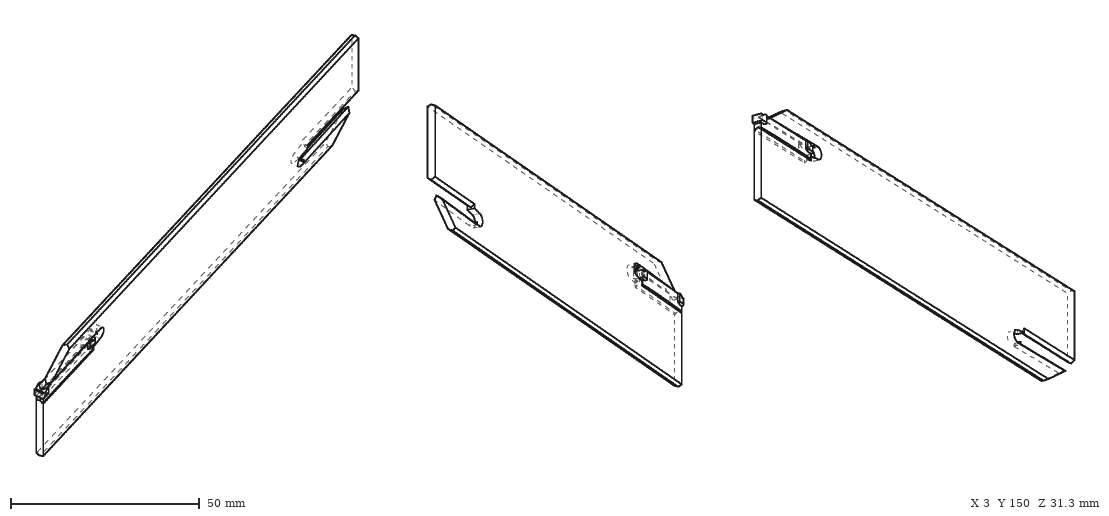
import cadquery as cq
import math


total_length = 150.0
blade_height = 31.3
tip_overhang = 0.5
blade_length = total_length - tip_overhang
blade_thickness = 2.2
half_thickness = blade_thickness / 2
edge_rise = 0.5

seat_depth = 10.0
seat_length = 24.0
floor_depth = 9.6
slot_end_inset = 28.8
slot_top_depth = 5.5
slot_end_radius = 1.8
lip_top_inset = 13.0
lip_tip_inset = 3.1
lip_tip_depth = 6.7
lip_root_depth = 6.3
lip_ridge_end = 25.6
ridge_height = 0.7
lip_tilt = math.degrees(math.atan2(lip_tip_depth - lip_root_depth, lip_ridge_end - lip_tip_inset))

body_length = 23.8
head_width = 3.0
insert_top_depth = 6.0
insert_foot_depth = 10.3
insert_arch = 0.18
head_length = 2.7
head_front_depth = 8.5
head_bottom_depth = 8.8
head_corner_depth = 8.2
cutting_edge_depth = 6.5
breaker_depth = 6.7
breaker_inset = 0.3
breaker_end = 1.5
groove_inset = 0.9
head_bevel = 0.6
flank_bevel = 0.6
tip_radius = 0.3


def place(inset, depth):
    """Turn a seat point at the front upper corner into (Y, Z)."""
    return (inset - blade_length / 2, blade_height / 2 - depth)


def turned(point):
    """The same point after half a turn about the X axis."""
    return (-point[0], -point[1])


def plate(outline, thickness):
    """Extrude a closed YZ outline symmetrically about the X = 0 plane."""
    return outline.close().extrude(thickness / 2, both=True)


def ridge_flanks(inset, depth, direction, length, tilt=0.0):
    """Waste beside a ridge whose crest starts at the given seat point and runs inward along +Y.

    direction is +1 for a ridge that points up and -1 for one that points down.
    """
    y, z = place(inset, depth)
    drop = -direction * ridge_height
    flanks = cq.Workplane("XZ", origin=(0, y, z))
    for side in (-1, 1):
        flanks = flanks.polyline([(0, 0), (side * half_thickness, 0), (side * half_thickness, drop)]).close()
    return flanks.extrude(-length).rotate((0, y, z), (1, y, z), tilt)


def trace_end(outline, turn):
    """Trace one blade end, from the crest of its seat around the slot to the top of its lip."""
    slot_center_inset = slot_end_inset - slot_end_radius
    slot_center_depth = slot_top_depth + slot_end_radius

    def at(inset, depth):
        return turn(place(inset, depth))

    return (
        outline.lineTo(*at(seat_length, seat_depth))
        .lineTo(*at(seat_length, floor_depth))
        .lineTo(*at(slot_center_inset, slot_center_depth + slot_end_radius))
        .threePointArc(at(slot_end_inset, slot_center_depth), at(slot_center_inset, slot_top_depth))
        .lineTo(*at(lip_ridge_end, slot_top_depth))
        .lineTo(*at(lip_ridge_end, lip_root_depth))
        .lineTo(*at(lip_tip_inset, lip_tip_depth))
        .lineTo(*at(lip_top_inset, 0))
    )


def v_edged_bar():
    """Bar with the blade's cross-section: flat sides and shallow V-shaped long edges."""
    crest = blade_height / 2
    shoulder = crest - edge_rise
    section = [
        (0, crest), (half_thickness, shoulder), (half_thickness, -shoulder),
        (0, -crest), (-half_thickness, -shoulder), (-half_thickness, shoulder),
    ]
    return cq.Workplane("XZ").polyline(section).close().extrude(blade_length / 2, both=True)


def make_blade():
    seat_start = place(0, seat_depth)
    outline = cq.Workplane("YZ").moveTo(*seat_start)
    outline = trace_end(outline, lambda point: point)
    outline = outline.lineTo(*turned(place(0, blade_height))).lineTo(*turned(seat_start))
    outline = trace_end(outline, turned).lineTo(*place(0, blade_height))
    blade = plate(outline, blade_thickness).intersect(v_edged_bar())

    seat_flanks = ridge_flanks(0, seat_depth, 1, seat_length)
    lip_flanks = ridge_flanks(lip_tip_inset, lip_tip_depth, -1, lip_ridge_end - lip_tip_inset, lip_tilt)
    for flanks in (seat_flanks, lip_flanks):
        blade = blade.cut(flanks).cut(flanks.rotate((0, 0, 0), (1, 0, 0), 180))
    return blade


def v_groove(start, end, depth, direction):
    """V groove that takes a ridge; its bottom runs between two insets at the given depth."""
    y, z = place(start, depth)
    mouth = -direction * ridge_height
    return (
        cq.Workplane("XZ", origin=(0, y, z))
        .polyline([(0, 0), (half_thickness, mouth), (-half_thickness, mouth)])
        .close()
        .extrude(start - end)
    )


def make_head():
    """Wide cutting head at the front, with a chip breaker behind its cutting edge."""
    profile = [
        (-tip_overhang, cutting_edge_depth), (breaker_inset, breaker_depth),
        (breaker_end, insert_top_depth), (head_length, insert_top_depth),
        (head_length, head_corner_depth), (breaker_end, head_bottom_depth),
        (0, head_bottom_depth), (-tip_overhang, head_front_depth),
    ]
    head = plate(cq.Workplane("YZ").polyline([place(*point) for point in profile]), head_width)

    half_width = head_width / 2
    tip_y = place(-tip_overhang, 0)[0]
    rear_y = place(head_length, 0)[0]
    plan = [
        (-half_width, tip_y), (half_width, tip_y), (half_width, rear_y - head_bevel),
        (half_thickness, rear_y), (-half_thickness, rear_y), (-half_width, rear_y - head_bevel),
    ]
    plan_bar = cq.Workplane("XY").polyline(plan).close().extrude(blade_height)
    plan_bar = plan_bar.edges("|Z").edges("<Y").fillet(tip_radius)

    top_z = place(0, insert_top_depth)[1]
    bottom_z = place(0, head_bottom_depth)[1]
    front = [
        (-half_width, top_z), (half_width, top_z), (half_width, bottom_z + flank_bevel),
        (half_thickness, bottom_z), (-half_thickness, bottom_z), (-half_width, bottom_z + flank_bevel),
    ]
    front_bar = cq.Workplane("XZ", origin=(0, tip_y, 0)).polyline(front).close().extrude(tip_y - rear_y)
    return head.intersect(plan_bar).intersect(front_bar)


def make_insert():
    middle = body_length / 2
    body_outline = (
        cq.Workplane("YZ")
        .moveTo(*place(0, insert_foot_depth))
        .threePointArc(place(middle, insert_foot_depth - insert_arch), place(body_length, insert_foot_depth))
        .lineTo(*place(body_length, breaker_depth))
        .lineTo(*place(body_length - breaker_inset, breaker_depth))
        .lineTo(*place(body_length - breaker_end, insert_top_depth))
        .lineTo(*place(breaker_end, insert_top_depth))
        .lineTo(*place(breaker_inset, breaker_depth))
        .lineTo(*place(0, breaker_depth))
    )
    head = make_head()
    far_head = head.mirror("XZ", (0, place(middle, 0)[0], 0))
    insert = plate(body_outline, blade_thickness).union(head).union(far_head)
    insert = insert.cut(v_groove(0, seat_length, seat_depth, 1))
    return insert.cut(v_groove(groove_inset, body_length - groove_inset, lip_tip_depth, -1))


blade = make_blade()
insert = make_insert()
result = cq.Compound.makeCompound([blade.solids().val(), insert.solids().val()])